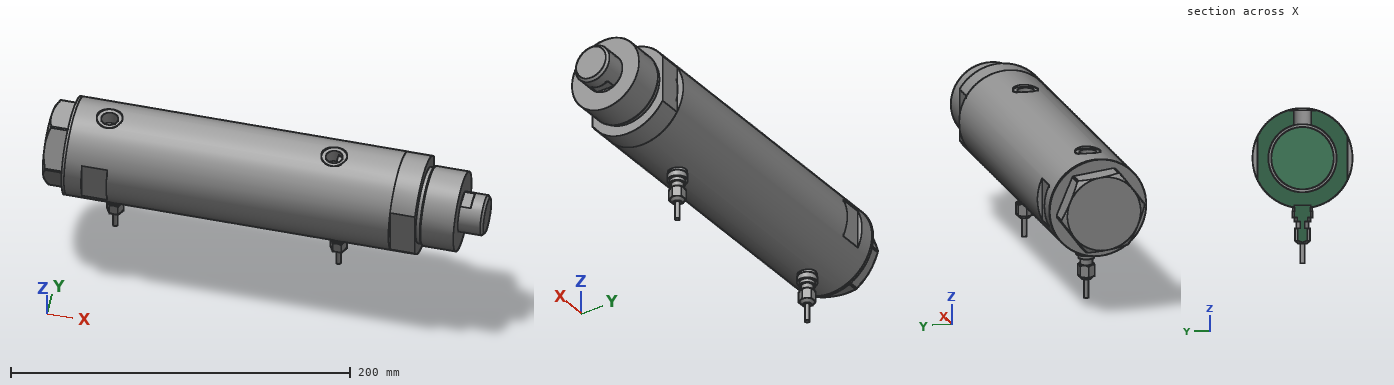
import cadquery as cq
import math


OUTER_RADIUS = 29.5
BORE_RADIUS = 20.0
HEAD_BORE_RADIUS = 25.5
ROD_RADIUS = 12.0

HEX_LENGTH = 13.0
HEX_APOTHEM = 22.5
HEX_CORNER_RADIUS = 25.5
HEX_TILT = 7.0
HEX_CHAMFER_LENGTH = 2.0
CAP_FLANGE_LENGTH = 1.5
CAP_PLUG_LENGTH = 9.2
CAP_STOP_RADIUS = 18.5

TUBE_START = HEX_LENGTH + CAP_FLANGE_LENGTH
TUBE_END = 210.5
PISTON_START = 38.5
PISTON_LENGTH = 21.0

TUBE_FLAT_START = 24.8
TUBE_FLAT_LENGTH = 15.3
TUBE_FLAT_HALF_WIDTH = 26.5

PORT_X = 35.3
PORT_SPACING = 135.7
PORT_RADIUS = 5.0
SPOTFACE_RADIUS = 7.6
SPOTFACE_Z = 28.2

HEAD_PLUG_START = 172.5
HEAD_FLANGE_LENGTH = 15.0
HEAD_FLAT_HALF_WIDTH = 25.0
NECK_RADIUS = 23.0
NECK_LENGTH = 2.5
COLLAR_RADIUS = 24.0
COLLAR_CHAMFER = 0.8
HEAD_FLANGE_END = TUBE_END + HEAD_FLANGE_LENGTH
COLLAR_START = HEAD_FLANGE_END + NECK_LENGTH
COLLAR_END = 248.5

ROD_END = 263.5
ROD_CHAMFER = 1.5
ROD_FLAT_HALF_WIDTH = 10.5
ROD_FLAT_LENGTH = 6.3

SENSOR_X = 38.7
SENSOR_SPACING = 135.0
SENSOR_SEAT_Z = -28.0
SENSOR_COLLAR_TOP = -31.0
SENSOR_COLLAR_BOTTOM = -35.0
SENSOR_STEP_BOTTOM = -37.5
SENSOR_NUT_TOP = -41.0
SENSOR_NUT_BOTTOM = -48.5
SENSOR_CONE_BOTTOM = -50.3
SENSOR_CABLE_END = -62.0
SENSOR_SHANK_RADIUS = 5.8
SENSOR_COLLAR_RADIUS = 6.0
SENSOR_STEP_RADIUS = 4.7
SENSOR_NECK_RADIUS = 3.7
SENSOR_NUT_APOTHEM = 4.5
SENSOR_NUT_CHAMFER = 0.8
SENSOR_CONE_RADIUS = 2.6
SENSOR_CABLE_RADIUS = 1.45


def disc(start, end, radius):
    """Cylinder on the X axis from start to end."""
    return cq.Workplane("YZ", origin=(start, 0, 0)).circle(radius).extrude(end - start)


def upright(x, bottom, top, radius):
    """Vertical cylinder at x, on the Y = 0 plane."""
    return cq.Workplane("XY", origin=(x, 0, bottom)).circle(radius).extrude(top - bottom)


def band_between_flats(start, end, half_width, across_z=False):
    """Block that keeps what lies between two parallel flats, from start to end along X."""
    wide = 4 * OUTER_RADIUS
    size_y, size_z = (wide, 2 * half_width) if across_z else (2 * half_width, wide)
    return cq.Workplane("XY").box(end - start, size_y, size_z).translate(((start + end) / 2, 0, 0))


def cut_flats(body, start, end, half_width, across_z=False):
    """Mill two opposite flats; they face Y, or Z when across_z is set."""
    waste = disc(start, end, 2 * OUTER_RADIUS).cut(band_between_flats(start, end, half_width, across_z))
    return body.cut(waste)


def hexagon_diameter(apothem):
    """Distance across the corners of a hexagon."""
    return 2 * apothem / math.cos(math.pi / 6)


def make_cap():
    """Hexagon end cap with flange, plug in the bore and stop for the piston."""
    hexagon = (
        cq.Workplane("YZ")
        .polygon(6, hexagon_diameter(HEX_APOTHEM))
        .extrude(HEX_LENGTH)
        .rotate((0, 0, 0), (1, 0, 0), -HEX_TILT)
    )
    blunting = disc(0, HEX_LENGTH, HEX_CORNER_RADIUS).faces("<X").chamfer(
        HEX_CHAMFER_LENGTH, HEX_CORNER_RADIUS - HEX_APOTHEM
    )
    flange = disc(HEX_LENGTH, TUBE_START, OUTER_RADIUS)
    plug = disc(TUBE_START, TUBE_START + CAP_PLUG_LENGTH, BORE_RADIUS)
    stop = disc(TUBE_START, PISTON_START, CAP_STOP_RADIUS)
    return hexagon.intersect(blunting).union(flange).union(plug).union(stop)


def make_tube():
    """Tube with a stepped bore, wrench flats, two spotfaced ports and two sensor seats."""
    tube = disc(TUBE_START, TUBE_END, OUTER_RADIUS)
    tube = cut_flats(tube, TUBE_FLAT_START, TUBE_FLAT_START + TUBE_FLAT_LENGTH, TUBE_FLAT_HALF_WIDTH)
    tube = tube.cut(disc(TUBE_START, TUBE_END, BORE_RADIUS))
    tube = tube.cut(disc(HEAD_PLUG_START, TUBE_END, HEAD_BORE_RADIUS))
    for offset in (0, PORT_SPACING):
        tube = tube.cut(upright(PORT_X + offset, SPOTFACE_Z, OUTER_RADIUS, SPOTFACE_RADIUS))
        tube = tube.cut(upright(PORT_X + offset, 0, OUTER_RADIUS, PORT_RADIUS))
    for offset in (0, SENSOR_SPACING):
        tube = tube.cut(upright(SENSOR_X + offset, -OUTER_RADIUS, SENSOR_SEAT_Z, SENSOR_SHANK_RADIUS))
    return tube


def make_head():
    """Rod-end head: plug in the bore, flange with flats, neck and collar."""
    plug = disc(HEAD_PLUG_START, TUBE_END, HEAD_BORE_RADIUS)
    flange = disc(TUBE_END, HEAD_FLANGE_END, OUTER_RADIUS)
    flange = cut_flats(flange, TUBE_END, HEAD_FLANGE_END, HEAD_FLAT_HALF_WIDTH)
    neck = disc(HEAD_FLANGE_END, COLLAR_START, NECK_RADIUS)
    collar = disc(COLLAR_START, COLLAR_END, COLLAR_RADIUS).faces("<X").chamfer(COLLAR_CHAMFER)
    head = plug.union(flange).union(neck).union(collar)
    return head.cut(disc(HEAD_PLUG_START, COLLAR_END, ROD_RADIUS))


def make_rod():
    """Piston and rod in one piece, with wrench flats just outside the head."""
    piston = disc(PISTON_START, PISTON_START + PISTON_LENGTH, BORE_RADIUS)
    shaft = disc(PISTON_START, ROD_END, ROD_RADIUS).faces(">X").chamfer(ROD_CHAMFER)
    shaft = cut_flats(shaft, COLLAR_END, COLLAR_END + ROD_FLAT_LENGTH, ROD_FLAT_HALF_WIDTH, across_z=True)
    return shaft.union(piston)


def make_sensor(x):
    """Sensor screwed in from below: stepped body, hexagon nut, cone and cable."""
    sensor = upright(x, SENSOR_COLLAR_TOP, SENSOR_SEAT_Z, SENSOR_SHANK_RADIUS)
    sensor = sensor.union(upright(x, SENSOR_COLLAR_BOTTOM, SENSOR_COLLAR_TOP, SENSOR_COLLAR_RADIUS))
    sensor = sensor.union(upright(x, SENSOR_STEP_BOTTOM, SENSOR_COLLAR_BOTTOM, SENSOR_STEP_RADIUS))
    sensor = sensor.union(upright(x, SENSOR_NUT_TOP, SENSOR_STEP_BOTTOM, SENSOR_NECK_RADIUS))

    nut_diameter = hexagon_diameter(SENSOR_NUT_APOTHEM)
    nut = (
        cq.Workplane("XY", origin=(x, 0, SENSOR_NUT_BOTTOM))
        .polygon(6, nut_diameter)
        .extrude(SENSOR_NUT_TOP - SENSOR_NUT_BOTTOM)
    )
    nut_blank = upright(x, SENSOR_NUT_BOTTOM, SENSOR_NUT_TOP, nut_diameter / 2)
    nut = nut.intersect(nut_blank.faces(">Z").chamfer(SENSOR_NUT_CHAMFER))

    cone = (
        cq.Workplane("XY", origin=(x, 0, SENSOR_NUT_BOTTOM))
        .circle(SENSOR_NUT_APOTHEM)
        .workplane(offset=SENSOR_CONE_BOTTOM - SENSOR_NUT_BOTTOM)
        .circle(SENSOR_CONE_RADIUS)
        .loft()
    )
    cable = upright(x, SENSOR_CABLE_END, SENSOR_CONE_BOTTOM, SENSOR_CABLE_RADIUS)
    return sensor.union(nut).union(cone).union(cable)


cap = make_cap()
tube = make_tube()
head = make_head()
rod = make_rod()
sensors = [make_sensor(SENSOR_X + offset) for offset in (0, SENSOR_SPACING)]

result = cq.Compound.makeCompound(
    [cap.val(), tube.val(), head.val(), rod.val(), *[sensor.val() for sensor in sensors]]
)